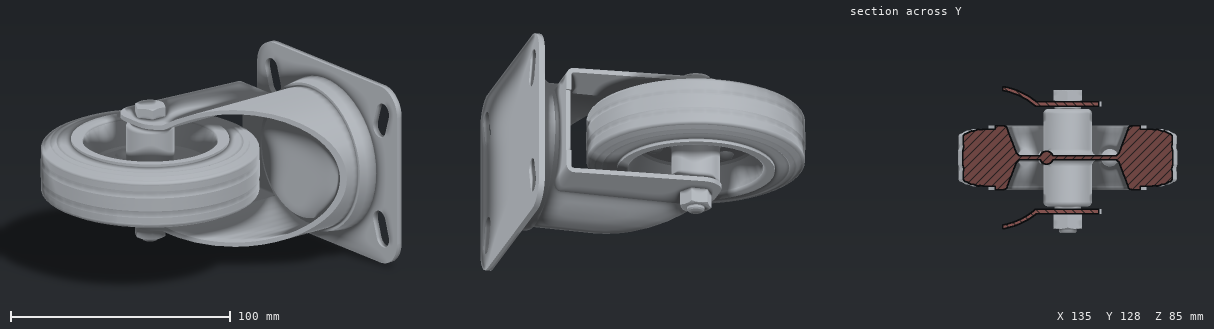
import cadquery as cq
import math


plate_length = 100.0
plate_width = 85.0
plate_thickness = 2.7
plate_corner_radius = 12.0
plate_right = 85.0
plate_center_x = plate_right - plate_length / 2
plate_top = 78.0
plate_bottom = plate_top - plate_thickness
slot_width = 8.9
slot_outer_offset = (39.8, 30.1)
slot_inner_offset = (37.4, 22.3)
neck_diameter = 70.7
neck_height = 0.7

crown_top = plate_bottom - neck_height
crown_bottom = 66.2
crown_top_diameter = 72.0
crown_bottom_diameter = 69.4

tube_outer_diameter = 66.0
tube_inner_diameter = 62.0
tube_outer_radius = tube_outer_diameter / 2
tube_inner_radius = tube_inner_diameter / 2
floor_boss_diameter = 54.0
floor_boss_end = 59.3
tube_right = plate_center_x + tube_outer_radius
slant_top = 59.8
slant_rise_per_run = 1.19

leg_outer_z = 25.5
leg_thickness = 2.2
leg_inner_z = leg_outer_z - leg_thickness
leg_right = plate_center_x - math.sqrt(tube_outer_radius**2 - leg_outer_z**2)
web_top = 63.7
web_thickness = leg_thickness
web_bottom = web_top - web_thickness
web_left = -10.1
bend_radius = 3.5
taper_start = 60.0
taper_end = 0.0
leg_left = -15.4
leg_bottom = -10.3
leg_corner_radius = 10.3
web_recess_depth = 1.2
web_recess_half_width = 14.8

bolt_diameter = 8.0
bolt_end_diameter = 6.6
bolt_end = -34.3
across_flats = 13.0
across_corners = across_flats / math.cos(math.pi / 6)
hex_face_diameter = 12.7
hex_chamfer_slope = math.tan(math.radians(30))
washer_face_diameter = 11.5
washer_face_height = 0.5
head_height = 4.7
nut_height = 6.9

hub_diameter = 22.0
hub_half_length = 22.1
hub_end_fillet = 2.0
hub_root_fillet = 2.8
spacer_diameter = 12.0
disc_half_thickness = 1.0
disc_flat_radius = 26.0
rim_wall_foot = (27.1, 2.0)
rim_wall_top = (30.8, 13.0)
rim_lip_bend_middle = (31.3, 14.2)
rim_lip_inner_radius = 32.4
rim_lip_outer_radius = 72.0 / 2
rim_lip_z = 14.6
sidewall_z = 13.1
sidewall_flat_radius = 81.0 / 2
sidewall_rings = [(42.4, 12.7), (42.9, 13.1), (45.4, 12.2), (46.0, 12.3)]
shoulder_start = (48.2, 11.1)
shoulder_middle = (49.4, 10.4)
shoulder_end_z = 9.2
tread_radius = 50.0
tread_edge_radius = 49.7
tread_hollow_radius = 49.5
tread_band_half_width = 3.1
tread_hollow_middle_z = 4.7
tread_hollow_outer_z = 6.3
rivet_count = 3
rivet_diameter = 8.0
rivet_circle_radius = 19.2
first_rivet_angle = 60


def slant_y(x):
    """Height of the fork's slanted lower edge at a given x."""
    return slant_top - (tube_right - x) * slant_rise_per_run


def cylinder_z(diameter, z_start, z_end):
    return cq.Workplane("XY").workplane(offset=z_start).circle(diameter / 2).extrude(z_end - z_start)


def disc_y(diameter, y_start, y_end):
    """Cylinder about the swivel line, from y_start to y_end."""
    plane = cq.Plane(origin=(plate_center_x, y_start, 0), xDir=(1, 0, 0), normal=(0, 1, 0))
    return cq.Workplane(plane).circle(diameter / 2).extrude(y_end - y_start)


def make_plate():
    """Rounded plate with four slanted slots and a short neck that bears on the fork."""
    plane = cq.Plane(origin=(plate_center_x, plate_bottom, 0), xDir=(1, 0, 0), normal=(0, 1, 0))
    plate = cq.Workplane(plane).rect(plate_length, plate_width).extrude(plate_thickness)
    plate = plate.edges("|Y").fillet(plate_corner_radius)
    run = slot_outer_offset[0] - slot_inner_offset[0]
    rise = slot_outer_offset[1] - slot_inner_offset[1]
    slot_length = math.hypot(run, rise) + slot_width
    slot_angle = math.degrees(math.atan2(rise, run))
    slot_x = (slot_outer_offset[0] + slot_inner_offset[0]) / 2
    slot_z = (slot_outer_offset[1] + slot_inner_offset[1]) / 2
    for side_x in (-1, 1):
        for side_z in (-1, 1):
            slot = (
                cq.Workplane(plane)
                .center(side_x * slot_x, side_z * slot_z)
                .slot2D(slot_length, slot_width, side_x * side_z * slot_angle)
                .extrude(plate_thickness)
            )
            plate = plate.cut(slot)
    return plate.union(disc_y(neck_diameter, crown_top, plate_bottom))


def make_tube():
    """Solid round post under the flared crown, cut off by the slant and opened between the legs."""
    crown_plane = cq.Plane(origin=(plate_center_x, crown_bottom, 0), xDir=(1, 0, 0), normal=(0, 1, 0))
    crown = (
        cq.Workplane(crown_plane)
        .circle(crown_bottom_diameter / 2)
        .workplane(offset=crown_top - crown_bottom)
        .circle(crown_top_diameter / 2)
        .loft(ruled=True)
    )
    tube_left = plate_center_x - tube_outer_radius
    below_slant = (
        cq.Workplane("XY")
        .workplane(offset=-tube_outer_radius)
        .polyline([
            (tube_right, slant_top),
            (tube_right, leg_bottom),
            (tube_left, leg_bottom),
            (tube_left, slant_y(tube_left)),
        ])
        .close()
        .extrude(tube_outer_diameter)
    )
    gap_right = plate_center_x - math.sqrt(tube_inner_radius**2 - leg_inner_z**2)
    wheel_gap = (
        cq.Workplane("XY")
        .box(gap_right - tube_left, web_bottom - leg_bottom, 2 * leg_inner_z, centered=(False, False, True))
        .translate((tube_left, leg_bottom, 0))
    )
    tube = disc_y(tube_outer_diameter, leg_bottom, crown_bottom).cut(below_slant).cut(wheel_gap)
    return crown.union(tube)


def make_legs():
    """Both legs and the web between them, bent from one strip."""
    slant_foot_x = tube_right - (slant_top - leg_bottom) / slant_rise_per_run
    strip = (
        cq.Workplane("XY")
        .workplane(offset=-leg_outer_z)
        .polyline([
            (web_left, web_top),
            (web_left, taper_start),
            (leg_left, taper_end),
            (leg_left, leg_bottom),
            (slant_foot_x, leg_bottom),
            (leg_right, slant_y(leg_right)),
            (leg_right, web_top),
        ])
        .close()
        .extrude(2 * leg_outer_z)
    )
    strip = strip.edges("|Z").edges("<Y").fillet(leg_corner_radius)
    strip = strip.faces(">Y").edges("|X").fillet(bend_radius)
    gap = (
        cq.Workplane("XY")
        .box(leg_right - leg_left, web_bottom - 2 * leg_bottom, 2 * leg_inner_z, centered=(False, False, True))
        .translate((leg_left, 2 * leg_bottom, 0))
        .faces(">Y")
        .edges("|X")
        .fillet(bend_radius - leg_thickness)
    )
    recess = cq.Workplane("XY").box(2 * web_recess_depth, 2 * (web_thickness + web_recess_depth), 2 * web_recess_half_width)
    recess = recess.translate((web_left, web_top, 0))
    return strip.cut(gap).cut(recess)


def make_fork():
    """Post and legs, bored into a tube with a round boss on its floor and drilled for the bolt."""
    bore = disc_y(tube_inner_diameter, leg_bottom, web_top)
    floor_boss = disc_y(floor_boss_diameter, floor_boss_end, web_top)
    fork = make_tube().union(make_legs()).cut(bore).union(floor_boss)
    return fork.cut(cylinder_z(bolt_diameter, -leg_outer_z, leg_outer_z))


def make_wheel():
    """Riveted rim with hub, spacers and tyre, turned from one half profile and mirrored."""
    half_profile = (
        cq.Workplane("XZ")
        .moveTo(0, 0)
        .lineTo(0, leg_inner_z)
        .lineTo(spacer_diameter / 2, leg_inner_z)
        .lineTo(spacer_diameter / 2, hub_half_length)
        .lineTo(hub_diameter / 2 - hub_end_fillet, hub_half_length)
        .radiusArc((hub_diameter / 2, hub_half_length - hub_end_fillet), hub_end_fillet)
        .lineTo(hub_diameter / 2, disc_half_thickness + hub_root_fillet)
        .radiusArc((hub_diameter / 2 + hub_root_fillet, disc_half_thickness), -hub_root_fillet)
        .lineTo(disc_flat_radius, disc_half_thickness)
        .lineTo(*rim_wall_foot)
        .lineTo(*rim_wall_top)
        .threePointArc(rim_lip_bend_middle, (rim_lip_inner_radius, rim_lip_z))
        .lineTo(rim_lip_outer_radius, rim_lip_z)
        .lineTo(rim_lip_outer_radius, sidewall_z)
        .lineTo(sidewall_flat_radius, sidewall_z)
    )
    for corner in sidewall_rings:
        half_profile = half_profile.lineTo(*corner)
    half_profile = (
        half_profile
        .lineTo(*shoulder_start)
        .threePointArc(shoulder_middle, (tread_edge_radius, shoulder_end_z))
        .lineTo(tread_edge_radius, tread_hollow_outer_z)
        .threePointArc((tread_hollow_radius, tread_hollow_middle_z), (tread_radius, tread_band_half_width))
        .lineTo(tread_radius, 0)
        .close()
    )
    half = half_profile.revolve(360, (0, 0, 0), (0, 1, 0))
    wheel = half.union(half.mirror("XY"))
    for index in range(rivet_count):
        angle = math.radians(first_rivet_angle + index * 360 / rivet_count)
        place = (rivet_circle_radius * math.cos(angle), rivet_circle_radius * math.sin(angle), 0)
        wheel = wheel.union(cq.Workplane("XY").sphere(rivet_diameter / 2).translate(place))
    return wheel.cut(cylinder_z(bolt_diameter, -leg_inner_z, leg_inner_z))


def hexagon(height):
    """Hexagonal prism on Z = 0 with two flats square to X and the corners of its top end bevelled."""
    prism = cq.Workplane("XY").polygon(6, across_corners).extrude(height).rotate((0, 0, 0), (0, 0, 1), 30)
    edge_height = height - (across_corners - hex_face_diameter) / 2 * hex_chamfer_slope
    envelope = (
        cq.Workplane("XZ")
        .polyline([
            (0, 0),
            (across_corners / 2, 0),
            (across_corners / 2, edge_height),
            (hex_face_diameter / 2, height),
            (0, height),
        ])
        .close()
        .revolve(360, (0, 0, 0), (0, 1, 0))
    )
    return prism.intersect(envelope)


def make_bolt():
    shank = cylinder_z(bolt_diameter, bolt_end, leg_outer_z)
    shank = shank.faces("<Z").chamfer((bolt_diameter - bolt_end_diameter) / 2)
    head_base = leg_outer_z + washer_face_height
    bolt = shank.union(cylinder_z(washer_face_diameter, leg_outer_z, head_base))
    return bolt.union(hexagon(head_height).translate((0, 0, head_base)))


def make_nut():
    nut = hexagon(nut_height).rotate((0, 0, 0), (1, 0, 0), 180).translate((0, 0, -leg_outer_z))
    return nut.cut(cylinder_z(bolt_diameter, -leg_outer_z - nut_height, -leg_outer_z))


plate = make_plate()
fork = make_fork()
wheel = make_wheel()
bolt = make_bolt()
nut = make_nut()

result = cq.Compound.makeCompound([plate.val(), fork.val(), wheel.val(), bolt.val(), nut.val()])